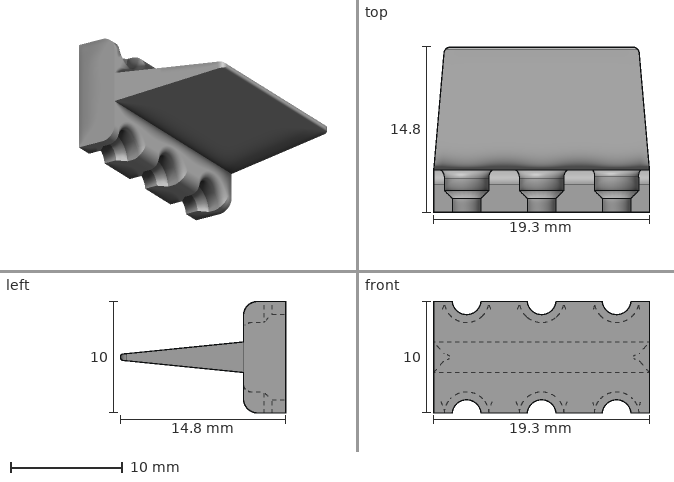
import cadquery as cq
import math

plate_width = 19.32
plate_thickness = 3.8
plate_height = 10.0
plate_edge_radius = 1.3

fin_length = 11.0
fin_root_thickness = 2.75
fin_tip_thickness = 0.55
fin_side_angle = 5.0
fin_tip_edge_radius = 0.25
fin_corner_radius = 0.6

notch_pitch = 6.71
notch_axis_offset = 0.1
notch_axis_height = plate_height / 2 + notch_axis_offset
notch_small_radius = 1.28
notch_large_radius = 2.0
notch_small_depth = 1.25
notch_cone_depth = notch_large_radius - notch_small_radius
notch_mouth_radii = (0.75, 0.75, 0.6)

tip_y = plate_thickness + fin_length


def make_plate():
    """Block with its front face on Y = 0 and its long back edges rounded."""
    block = cq.Workplane("XY").box(
        plate_width, plate_thickness, plate_height, centered=(True, False, True)
    )
    return block.faces(">Y").edges("|X").fillet(plate_edge_radius)


def make_fin():
    """Wedge that narrows in both thickness and width towards a rounded tip."""
    root_half = fin_root_thickness / 2
    tip_half = fin_tip_thickness / 2
    wedge = (
        cq.Workplane("YZ")
        .polyline([
            (plate_thickness, -root_half),
            (tip_y, -tip_half),
            (tip_y, tip_half),
            (plate_thickness, root_half),
        ])
        .close()
        .extrude(plate_width / 2, both=True)
        .faces(">Y").edges("|X").fillet(fin_tip_edge_radius)
    )

    root_half_width = plate_width / 2
    tip_half_width = root_half_width - fin_length * math.tan(math.radians(fin_side_angle))
    plan = (
        cq.Workplane("XY")
        .polyline([
            (-root_half_width, plate_thickness),
            (root_half_width, plate_thickness),
            (tip_half_width, tip_y),
            (-tip_half_width, tip_y),
        ])
        .close()
        .extrude(fin_root_thickness, both=True)
        .faces(">Y").edges("|Z").fillet(fin_corner_radius)
    )
    return wedge.intersect(plan)


def make_notch_cutter(mouth_radius):
    """Turned cutter along Y: small bore, cone, large bore and flared round mouth."""
    cone_end = notch_small_depth + notch_cone_depth
    flare_start = plate_thickness - mouth_radius
    mouth_outer_radius = notch_large_radius + mouth_radius
    arc_offset = mouth_radius * math.sqrt(0.5)
    return (
        cq.Workplane("XY")
        .moveTo(0, 0)
        .lineTo(notch_small_radius, 0)
        .lineTo(notch_small_radius, notch_small_depth)
        .lineTo(notch_large_radius, cone_end)
        .lineTo(notch_large_radius, flare_start)
        .threePointArc(
            (mouth_outer_radius - arc_offset, flare_start + arc_offset),
            (mouth_outer_radius, plate_thickness),
        )
        .lineTo(0, plate_thickness)
        .close()
        .revolve(360, (0, 0, 0), (0, 1, 0))
    )


def cut_notches(plate):
    """Cut one notch per column into both the top and the bottom edge."""
    middle_column = (len(notch_mouth_radii) - 1) / 2
    for column, mouth_radius in enumerate(notch_mouth_radii):
        cutter = make_notch_cutter(mouth_radius)
        notch_x = (column - middle_column) * notch_pitch
        for side in (-1, 1):
            plate = plate.cut(cutter.translate((notch_x, 0, side * notch_axis_height)))
    return plate


result = cut_notches(make_plate()).union(make_fin())